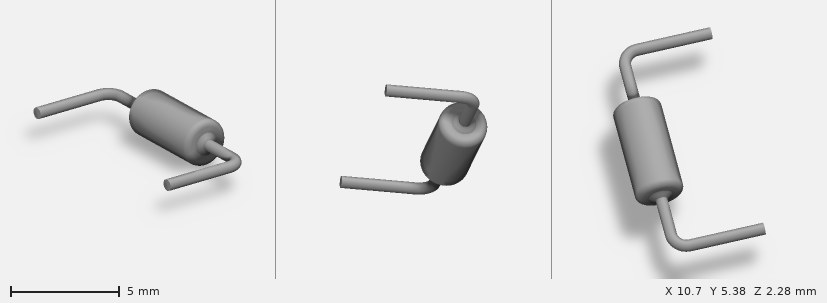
import cadquery as cq

overall_length = 10.72
overall_depth = 5.38
body_diameter = 2.28
body_length = 4.7
body_edge_radius = 0.29
collar_diameter = 1.14
collar_length = 0.19
wire_diameter = 0.56
bend_radius = 0.72

body_radius = body_diameter / 2
wire_radius = wire_diameter / 2
leg_x = overall_length / 2 - wire_radius
leg_end_y = body_radius - overall_depth


def make_body():
    """Cylindrical body with rounded end edges."""
    body = cq.Workplane("YZ", origin=(-body_length / 2, 0, 0)).circle(body_radius).extrude(body_length)
    return body.edges("%CIRCLE").fillet(body_edge_radius)


def make_collar(side):
    """Cone that tapers from the body end (side is -1 or +1) down to the wire."""
    cone = cq.Solid.makeCone(
        collar_diameter / 2,
        wire_radius,
        collar_length,
        pnt=cq.Vector(side * body_length / 2, 0, 0),
        dir=cq.Vector(side, 0, 0),
    )
    return cq.Workplane(obj=cone)


def make_lead():
    """One continuous wire through the body, bent towards -Y at both ends."""
    bend_start_x = leg_x - bend_radius
    path = (
        cq.Workplane("XY")
        .moveTo(-leg_x, leg_end_y)
        .lineTo(-leg_x, -bend_radius)
        .tangentArcPoint((-bend_start_x, 0), relative=False)
        .lineTo(bend_start_x, 0)
        .tangentArcPoint((leg_x, -bend_radius), relative=False)
        .lineTo(leg_x, leg_end_y)
    )
    section = cq.Workplane("XZ", origin=(-leg_x, leg_end_y, 0)).circle(wire_radius)
    return section.sweep(path)


result = make_body().union(make_lead())
for side in (-1, 1):
    result = result.union(make_collar(side))